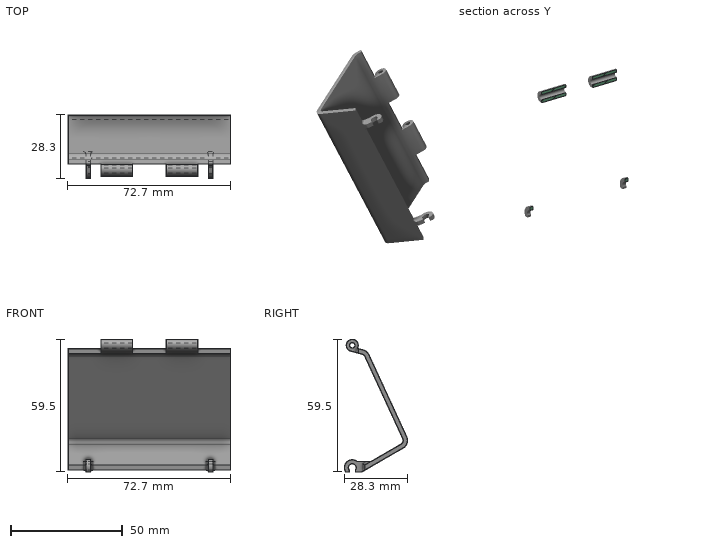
import cadquery as cq
import math


sheet_width = 72.7
thickness = 2.0
bend_inner_radius = 2.0
bend_outer_radius = bend_inner_radius + thickness
lower_leg_angle = math.radians(30)
main_leg_angle = math.radians(65.25)
upper_leg_angle = math.radians(15)
lower_end_y = 5.6
lower_end_top_z = 1.15
upper_end_y = 2.87
sheet_back_y = 24.72

eye_axis_z = 54.71
eye_radius = 2.7
eye_hole_diameter = 2.3
eye_length = 14.2
eye_spacing = 29.15

hook_spacing = 54.7
hook_width = 2.0
hook_outer_radius = 3.55
hook_bore_radius = 1.7
hook_mouth_width = 2.7
hook_top_z = 2.85
hook_bottom_z = -2.05
hook_root_fillet = 1.05


def surface_line(point, angle, offset=0.0):
    """A sloped YZ line as (slope, Z at Y = 0), shifted along its upward normal."""
    slope = math.tan(angle)
    height = point[1] - slope * point[0] + offset / math.cos(angle)
    return slope, height


def height_on(line, y):
    return line[0] * y + line[1]


def y_on(line, z):
    return (z - line[1]) / line[0]


def meet(first, second):
    """The point where two sloped lines cross."""
    y = (second[1] - first[1]) / (first[0] - second[0])
    return y, height_on(first, y)


lower_end_top = (lower_end_y, lower_end_top_z)
lower_inner = surface_line(lower_end_top, lower_leg_angle)
lower_outer = surface_line(lower_end_top, lower_leg_angle, -thickness)

lower_bend_y = sheet_back_y - bend_outer_radius
lower_bend_line = surface_line(lower_end_top, lower_leg_angle, bend_inner_radius)
lower_bend_center = (lower_bend_y, height_on(lower_bend_line, lower_bend_y))
main_inner = surface_line(lower_bend_center, -main_leg_angle, bend_inner_radius)
main_outer = surface_line(lower_bend_center, -main_leg_angle, bend_outer_radius)

lower_end_bottom = (lower_end_y, height_on(lower_outer, lower_end_y))
arm_back_y = y_on(lower_inner, hook_top_z)

eye_center = (0.0, eye_axis_z)
upper_inner = surface_line(eye_center, -upper_leg_angle, -eye_radius)
upper_outer = surface_line(eye_center, -upper_leg_angle, thickness - eye_radius)
upper_end_bottom = (upper_end_y, height_on(upper_inner, upper_end_y))
upper_end_top = (upper_end_y, height_on(upper_outer, upper_end_y))

lower_corner_inner = meet(lower_inner, main_inner)
lower_corner_outer = meet(lower_outer, main_outer)
upper_corner_inner = meet(main_inner, upper_inner)
upper_corner_outer = meet(main_outer, upper_outer)


def extrude_along_x(profile, length, center_x):
    """Extrude a YZ profile symmetrically about X = center_x."""
    return profile.extrude(length / 2, both=True).translate((center_x, 0, 0))


def make_sheet():
    outline = [
        lower_end_top,
        lower_corner_inner,
        upper_corner_inner,
        upper_end_bottom,
        upper_end_top,
        upper_corner_outer,
        lower_corner_outer,
        lower_end_bottom,
    ]
    sheet = extrude_along_x(cq.Workplane("YZ").polyline(outline).close(), sheet_width, 0)
    bends = [
        (lower_corner_inner, bend_inner_radius),
        (upper_corner_inner, bend_inner_radius),
        (lower_corner_outer, bend_outer_radius),
        (upper_corner_outer, bend_outer_radius),
    ]
    for (y, z), radius in bends:
        sheet = sheet.edges(cq.NearestToPointSelector((0, y, z))).fillet(radius)
    return sheet


def make_eye(center_x):
    """Hinge barrel with the tongue that joins it to the upper leg."""
    barrel_profile = cq.Workplane("YZ").center(*eye_center).circle(eye_radius)
    barrel = extrude_along_x(barrel_profile, eye_length, center_x)
    tangent_y = -eye_radius * math.sin(upper_leg_angle)
    tongue_outline = [
        upper_end_bottom,
        (tangent_y, height_on(upper_inner, tangent_y)),
        eye_center,
        (0, height_on(upper_outer, 0)),
        upper_end_top,
    ]
    tongue = extrude_along_x(cq.Workplane("YZ").polyline(tongue_outline).close(), eye_length, center_x)
    hole_profile = cq.Workplane("YZ").center(*eye_center).circle(eye_hole_diameter / 2)
    return barrel.union(tongue).cut(extrude_along_x(hole_profile, eye_length, center_x))


def make_hook(center_x):
    """Open hook whose arm lies on the lower leg and ends flush with its underside."""
    arm_outline = [
        (0, hook_top_z),
        (arm_back_y, hook_top_z),
        lower_end_top,
        lower_end_bottom,
        (y_on(lower_outer, hook_bottom_z), hook_bottom_z),
        (0, hook_bottom_z),
    ]
    arm = extrude_along_x(cq.Workplane("YZ").polyline(arm_outline).close(), hook_width, center_x)

    tip_y = -math.sqrt(hook_outer_radius**2 - hook_bottom_z**2)
    ring_profile = (
        cq.Workplane("YZ")
        .moveTo(tip_y, hook_bottom_z)
        .threePointArc((0, hook_outer_radius), (-tip_y, hook_bottom_z))
        .close()
    )
    ring = extrude_along_x(ring_profile, hook_width, center_x)

    bore = extrude_along_x(cq.Workplane("YZ").circle(hook_bore_radius), hook_width, center_x)
    mouth_profile = cq.Workplane("YZ").center(0, hook_bottom_z / 2).rect(hook_mouth_width, -hook_bottom_z)
    mouth = extrude_along_x(mouth_profile, hook_width, center_x)
    return arm.union(ring).cut(bore).cut(mouth)


def fillet_hook_root(body, center_x):
    """Round the corners between both sides of a hook and the lower leg."""
    end_mid = (lower_end_y, (lower_end_top_z + lower_end_bottom[1]) / 2)
    slope_mid = ((lower_end_y + arm_back_y) / 2, (lower_end_top_z + hook_top_z) / 2)
    root_edges = []
    for side in (-1, 1):
        side_x = center_x + side * hook_width / 2
        for y, z in (end_mid, slope_mid):
            root_edges += body.edges(cq.NearestToPointSelector((side_x, y, z))).vals()
    return body.newObject(root_edges).fillet(hook_root_fillet)


result = make_sheet()
for direction in (-1, 1):
    result = result.union(make_eye(direction * eye_spacing / 2))
    hook_x = direction * hook_spacing / 2
    result = result.union(make_hook(hook_x))
    result = fillet_hook_root(result, hook_x)